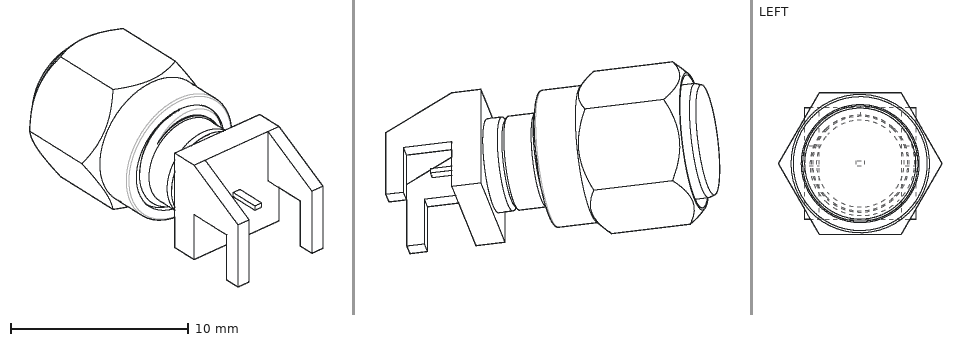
import cadquery as cq
import math


NUT_FRONT_X = 0.77
HEX_END_X = 6.78
NUT_REAR_X = 9.18
HEX_ACROSS_FLATS = 8.0
HEX_ACROSS_CORNERS = HEX_ACROSS_FLATS / math.cos(math.pi / 6)
COLLAR_DIA = 7.8
HEX_FRONT_CHAMFER = 0.75
HEX_REAR_CHAMFER = 0.72
COLLAR_FILLET = 0.1
NUT_RELIEF_DIA = 6.65
NUT_MOUTH_DIA = 7.55

FACE_DIA = 6.26
SHANK_DIA = 6.5
FACE_TAPER_LENGTH = 0.34
NECK_DIA = 5.35
NECK_START_X = 9.61
SHANK_CHAMFER = (SHANK_DIA - NECK_DIA) / 2
NECK_GROOVE_START_X = 11.19
NECK_GROOVE_BOTTOM_X = 11.35
NECK_GROOVE_END_X = 11.56
NECK_GROOVE_DIA = 4.92

THREAD_PITCH = 0.7
THREAD_ROOT_DIA = 5.5
THREAD_ROOT_WIDTH = 0.15
THREAD_HALF_ANGLE = math.radians(28)
THREAD_TURNS = 2
THREAD_TOP_X = 9.52
CUTTER_OVERLAP = 0.009

PLATE_FRONT_X = 12.4
PLATE_REAR_X = 14.09
PLATE_SIDE = 6.3
LEG_END_X = 17.9
LEG_THICKNESS = 0.82
LEG_END_TOP_Z = 1.0
LEG_ARCH_TOP_Z = -0.15
LEG_FOOT_WIDTH = 1.02
CONTACT_END_X = 15.97
CONTACT_WIDTH = 0.5
CONTACT_HEIGHT = -2 * LEG_ARCH_TOP_Z


def turned(profile):
    """Revolve a closed outline of (x, radius) points about the X axis."""
    return cq.Workplane("XY").polyline(profile).close().revolve(360, (0, 0), (1, 0))


def make_nut():
    collar_r = COLLAR_DIA / 2
    corner_r = HEX_ACROSS_CORNERS / 2
    relief_r = NUT_RELIEF_DIA / 2
    seat_r = SHANK_DIA / 2
    mouth_r = NUT_MOUTH_DIA / 2

    hexagon = (
        cq.Workplane("YZ", origin=(NUT_FRONT_X, 0, 0))
        .polygon(6, HEX_ACROSS_CORNERS)
        .extrude(HEX_END_X - NUT_FRONT_X)
    )
    chamfered_blank = turned([
        (NUT_FRONT_X, 0),
        (NUT_FRONT_X, collar_r),
        (NUT_FRONT_X + HEX_FRONT_CHAMFER, corner_r),
        (HEX_END_X - HEX_REAR_CHAMFER, corner_r),
        (HEX_END_X, collar_r),
        (HEX_END_X, 0),
    ])
    collar = turned([
        (HEX_END_X, 0),
        (HEX_END_X, collar_r),
        (NUT_REAR_X, collar_r),
        (NUT_REAR_X, 0),
    ]).faces(">X").edges().fillet(COLLAR_FILLET)
    bore = turned([
        (NUT_FRONT_X, 0),
        (NUT_FRONT_X, mouth_r),
        (NUT_FRONT_X + mouth_r - relief_r, relief_r),
        (HEX_END_X, relief_r),
        (HEX_END_X, seat_r),
        (NUT_REAR_X, seat_r),
        (NUT_REAR_X, 0),
    ])
    return hexagon.intersect(chamfered_blank).union(collar).cut(bore)


def make_thread_cutter():
    """Right-hand helical ridge whose removal leaves the thread groove."""
    length = THREAD_PITCH * THREAD_TURNS
    root_r = THREAD_ROOT_DIA / 2
    outer_r = SHANK_DIA / 2 + CUTTER_OVERLAP
    root_half = THREAD_ROOT_WIDTH / 2
    outer_half = root_half + (outer_r - root_r) * math.tan(THREAD_HALF_ANGLE)

    helix = cq.Wire.makeHelix(THREAD_PITCH, length, root_r)
    ridge = (
        cq.Workplane("XZ")
        .polyline([
            (root_r, -root_half),
            (outer_r, -outer_half),
            (outer_r, outer_half),
            (root_r, root_half),
        ])
        .close()
        .sweep(cq.Workplane(helix), isFrenet=True)
    )
    laid = ridge.rotate((0, 0, 0), (0, 1, 0), 90)
    half_turned = laid.rotate((0, 0, 0), (1, 0, 0), 180)
    return half_turned.translate((THREAD_TOP_X - length + THREAD_PITCH, 0, 0))


def make_turned_body():
    shank_r = SHANK_DIA / 2
    neck_r = NECK_DIA / 2
    return turned([
        (0, 0),
        (0, FACE_DIA / 2),
        (FACE_TAPER_LENGTH, shank_r),
        (NECK_START_X - SHANK_CHAMFER, shank_r),
        (NECK_START_X, neck_r),
        (NECK_GROOVE_START_X, neck_r),
        (NECK_GROOVE_BOTTOM_X, NECK_GROOVE_DIA / 2),
        (NECK_GROOVE_END_X, neck_r),
        (PLATE_FRONT_X, neck_r),
        (PLATE_FRONT_X, 0),
    ])


def make_plate_and_legs():
    """Square plate with a sloped, arched leg along each side."""
    half_side = PLATE_SIDE / 2
    side_outline = [
        (PLATE_FRONT_X, -half_side),
        (PLATE_FRONT_X, half_side),
        (PLATE_REAR_X, half_side),
        (LEG_END_X, LEG_END_TOP_Z),
        (LEG_END_X, -half_side),
        (LEG_END_X - LEG_FOOT_WIDTH, -half_side),
        (LEG_END_X - LEG_FOOT_WIDTH, LEG_ARCH_TOP_Z),
        (PLATE_REAR_X, LEG_ARCH_TOP_Z),
        (PLATE_REAR_X, -half_side),
    ]
    block = cq.Workplane("XZ").polyline(side_outline).close().extrude(half_side, both=True)
    gap_between_legs = cq.Workplane("XY").box(
        LEG_END_X - PLATE_REAR_X, PLATE_SIDE - 2 * LEG_THICKNESS, PLATE_SIDE,
        centered=(False, True, True),
    ).translate((PLATE_REAR_X, 0, 0))
    return block.cut(gap_between_legs)


def make_contact():
    return cq.Workplane("XY").box(
        CONTACT_END_X - PLATE_REAR_X, CONTACT_WIDTH, CONTACT_HEIGHT,
        centered=(False, True, True),
    ).translate((PLATE_REAR_X, 0, 0))


def make_body():
    threaded = make_turned_body().cut(make_thread_cutter())
    return threaded.union(make_plate_and_legs()).union(make_contact())


nut = make_nut()
body = make_body()
result = cq.Compound.makeCompound([nut.solids().val(), body.solids().val()])